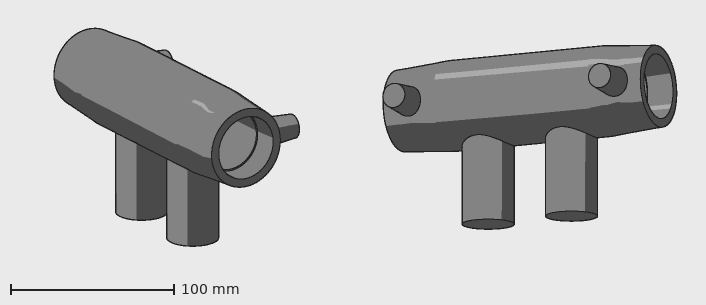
import cadquery as cq

length = 176.0
tube_diameter = 56.0
end_diameter = 50.5
taper_length = 35.2
mouth_diameter = 40.0
bore_diameter = 38.0
mouth_depth = 17.2

leg_diameter = 32.0
leg_spacing = 57.0
leg_reach = 76.0

spigot_tip_diameter = 15.1
spigot_root_diameter = 18.5
spigot_root_offset = 24.6
spigot_reach = 46.0
spigot_spacing = 140.8

half_length = length / 2
straight_half = half_length - taper_length
mouth_floor = half_length - mouth_depth


def x_cylinder(diameter, start, end):
    """Cylinder on the X axis between two positions."""
    return cq.Workplane("YZ", origin=(start, 0, 0)).circle(diameter / 2).extrude(end - start)


body = (
    cq.Workplane("XY")
    .moveTo(-half_length, 0)
    .lineTo(-half_length, end_diameter / 2)
    .lineTo(-straight_half, tube_diameter / 2)
    .lineTo(straight_half, tube_diameter / 2)
    .lineTo(half_length, end_diameter / 2)
    .lineTo(half_length, 0)
    .close()
    .revolve(360, (0, 0, 0), (1, 0, 0))
)

for side in (-1, 1):
    leg = (
        cq.Workplane("XY", origin=(side * leg_spacing / 2, 0, -leg_reach))
        .circle(leg_diameter / 2)
        .extrude(leg_reach)
    )
    spigot = cq.Workplane(
        cq.Solid.makeCone(
            spigot_root_diameter / 2,
            spigot_tip_diameter / 2,
            spigot_reach - spigot_root_offset,
            cq.Vector(side * spigot_spacing / 2, spigot_root_offset, 0),
            cq.Vector(0, 1, 0),
        )
    )
    body = body.union(leg).union(spigot)

bore = x_cylinder(bore_diameter, -half_length, half_length)
left_mouth = x_cylinder(mouth_diameter, -half_length, -mouth_floor)
right_mouth = x_cylinder(mouth_diameter, mouth_floor, half_length)
result = body.cut(bore).cut(left_mouth).cut(right_mouth)